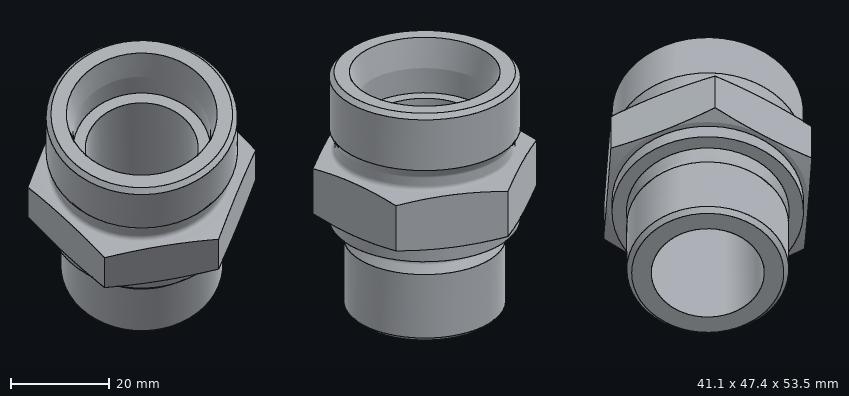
import cadquery as cq
import math

total_height = 53.5
edge_chamfer = 1.0
relief_radius = 1.0
relief_angle = 30.0

hex_across_flats = 41.05
hex_bottom = 23.45
hex_top = 35.45
hex_chamfer_angle = 15.0

upper_diameter = 39.0
upper_thread_bottom = 40.9
upper_relief_diameter = 36.7
upper_relief_fillet = 1.25

collar_diameter = upper_diameter
collar_bottom = 20.0
lower_diameter = 33.0
groove_diameter = 30.8
groove_middle = 17.7

through_diameter = 23.0
counterbore_diameter = 28.0
counterbore_depth = 12.0
mouth_diameter = 30.7
mouth_half_angle = 12.0


def make_turned_body():
    """Revolve the outer profile of everything except the hexagon corners."""
    upper_radius = upper_diameter / 2
    upper_relief_radius = upper_relief_diameter / 2
    lower_radius = lower_diameter / 2
    groove_radius = groove_diameter / 2
    collar_radius = collar_diameter / 2
    fillet_outer_radius = upper_relief_radius + upper_relief_fillet

    cone_slope = math.tan(math.radians(relief_angle))
    arc_rise = relief_radius * math.sin(math.radians(relief_angle))
    arc_depth = relief_radius * (1 - math.cos(math.radians(relief_angle)))

    groove_edge_radius = groove_radius + arc_depth
    groove_bottom = groove_middle - arc_rise
    groove_top = groove_middle + arc_rise
    lower_thread_top = groove_bottom - (lower_radius - groove_edge_radius) / cone_slope
    groove_collar_radius = groove_edge_radius + (collar_bottom - groove_top) * cone_slope

    upper_cone_radius = upper_relief_radius + arc_depth
    upper_cone_bottom = upper_thread_bottom - (upper_radius - upper_cone_radius) / cone_slope

    return (
        cq.Workplane("XZ")
        .moveTo(0, 0)
        .lineTo(lower_radius - edge_chamfer, 0)
        .lineTo(lower_radius, edge_chamfer)
        .lineTo(lower_radius, lower_thread_top)
        .lineTo(groove_edge_radius, groove_bottom)
        .threePointArc((groove_radius, groove_middle), (groove_edge_radius, groove_top))
        .lineTo(groove_collar_radius, collar_bottom)
        .lineTo(collar_radius, collar_bottom)
        .lineTo(collar_radius, hex_bottom)
        .lineTo(fillet_outer_radius, hex_bottom)
        .lineTo(fillet_outer_radius, hex_top)
        .radiusArc((upper_relief_radius, hex_top + upper_relief_fillet), upper_relief_fillet)
        .lineTo(upper_relief_radius, upper_cone_bottom - arc_rise)
        .radiusArc((upper_cone_radius, upper_cone_bottom), relief_radius)
        .lineTo(upper_radius, upper_thread_bottom)
        .lineTo(upper_radius, total_height - edge_chamfer)
        .lineTo(upper_radius - edge_chamfer, total_height)
        .lineTo(0, total_height)
        .close()
        .revolve(360, (0, 0), (0, 1))
    )


def make_hexagon():
    """Hexagon with corners on the Y axis, both faces turned down to a cone."""
    flat_radius = hex_across_flats / 2
    corner_radius = flat_radius / math.cos(math.radians(30))
    corner_drop = (corner_radius - flat_radius) * math.tan(math.radians(hex_chamfer_angle))
    prism = (
        cq.Workplane("XY", origin=(0, 0, hex_bottom))
        .transformed(rotate=(0, 0, 90))
        .polygon(6, 2 * corner_radius)
        .extrude(hex_top - hex_bottom)
    )
    envelope = (
        cq.Workplane("XZ")
        .moveTo(0, hex_bottom)
        .lineTo(flat_radius, hex_bottom)
        .lineTo(corner_radius, hex_bottom + corner_drop)
        .lineTo(corner_radius, hex_top - corner_drop)
        .lineTo(flat_radius, hex_top)
        .lineTo(0, hex_top)
        .close()
        .revolve(360, (0, 0), (0, 1))
    )
    return prism.intersect(envelope)


def make_bore():
    """Through hole, counterbore and tapered mouth as one turned cutter."""
    mouth_radius = mouth_diameter / 2
    counterbore_radius = counterbore_diameter / 2
    through_radius = through_diameter / 2
    taper_depth = (mouth_radius - counterbore_radius) / math.tan(math.radians(mouth_half_angle))
    return (
        cq.Workplane("XZ")
        .moveTo(0, 0)
        .lineTo(through_radius, 0)
        .lineTo(through_radius, total_height - counterbore_depth)
        .lineTo(counterbore_radius, total_height - counterbore_depth)
        .lineTo(counterbore_radius, total_height - taper_depth)
        .lineTo(mouth_radius, total_height)
        .lineTo(0, total_height)
        .close()
        .revolve(360, (0, 0), (0, 1))
    )


fitting = make_turned_body().union(make_hexagon()).cut(make_bore())
result = fitting.translate((0, 0, -total_height / 2))